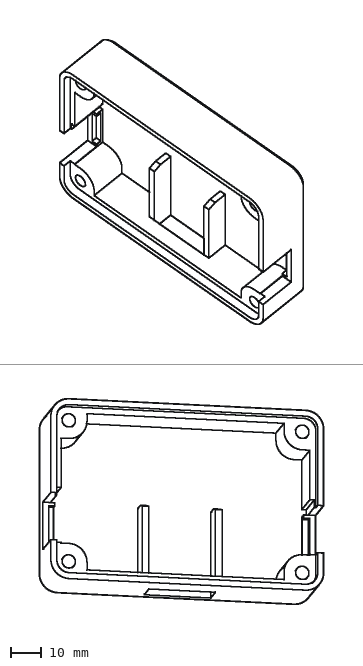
import cadquery as cq

length = 90.0
depth = 20.2
height = 60.0
corner_radius = 6.0
back_chamfer = 1.0
front_y = -depth / 2
back_y = depth / 2

wall = 4.0
floor_thickness = wall
rim_wall = 2.0
rim_depth = 3.0
ledge_y = front_y + rim_depth
floor_y = back_y - floor_thickness
inner_x = length / 2 - wall
inner_bottom = wall - height / 2

hole_diameter = 4.4
boss_radius = 6.0
hole_inset = 6.5
hole_x = length / 2 - hole_inset
hole_z = height / 2 - hole_inset

window_top = -1.5
window_height = 15.75
window_bottom = window_top - window_height
window_depth = 13.3
window_back_y = front_y + window_depth
pocket_margin = 1.1
pocket_depth = 2.0
pocket_width = 2.0
notch_height = 2.5
notch_width = 1.4

rib_gap = 22.0
rib_thickness = 2.2
rib_setback = 8.5
rib_front_y = front_y + rib_setback
rib_top = -1.4
rib_chamfer_drop = 1.0
rib_chamfer_run = 3.0


def block(x_range, y_range, z_range):
    """Box spanning the given coordinate ranges."""
    (x0, x1), (y0, y1), (z0, z1) = x_range, y_range, z_range
    return cq.Workplane("XY").box(x1 - x0, y1 - y0, z1 - z0, centered=False).translate((x0, y0, z0))


def centered_block(width, y_range, tall):
    """Box centred on X and Z."""
    return block((-width / 2, width / 2), y_range, (-tall / 2, tall / 2))


def make_shell():
    body = centered_block(length, (front_y, back_y), height)
    body = body.edges("|Y").fillet(corner_radius).faces(">Y").edges().chamfer(back_chamfer)
    cavity = centered_block(length - 2 * wall, (front_y, floor_y), height - 2 * wall)
    rim = centered_block(length - 2 * rim_wall, (front_y, ledge_y), height - 2 * rim_wall)
    rim = rim.edges("|Y").fillet(corner_radius - rim_wall)
    return body.cut(cavity).cut(rim)


def make_boss(side_x, side_z):
    """Corner boss merged into the walls, with its inward edge rounded."""
    boss_x = hole_x - boss_radius
    boss_z = hole_z - boss_radius
    boss = block(
        (boss_x, length / 2 - wall / 2),
        (ledge_y, floor_y + floor_thickness / 2),
        (boss_z, height / 2 - wall / 2),
    )
    boss = boss.edges("|Y and <X and <Z").fillet(boss_radius)
    boss = boss.edges("|Y and >X and >Z").fillet(corner_radius - rim_wall)
    if side_x < 0:
        boss = boss.mirror("YZ")
    if side_z < 0:
        boss = boss.mirror("XY")
    return boss


def make_side_cut():
    """Window, pocket and notch in the +X wall."""
    window = block((inner_x, length / 2), (front_y, window_back_y), (window_bottom, window_top))
    pocket = block(
        (inner_x, inner_x + pocket_width),
        (window_back_y, window_back_y + pocket_depth),
        (window_bottom + pocket_margin, window_top - pocket_margin),
    )
    notch = block(
        (inner_x, inner_x + notch_width),
        (ledge_y, floor_y),
        (window_top, window_top + notch_height),
    )
    return window.union(pocket).union(notch)


def make_rib():
    """Rib on the +X side, with the front of its top edge sloping down."""
    profile = [
        (floor_y, inner_bottom),
        (rib_front_y, inner_bottom),
        (rib_front_y, rib_top - rib_chamfer_drop),
        (rib_front_y + rib_chamfer_run, rib_top),
        (floor_y, rib_top),
    ]
    rib = cq.Workplane("YZ").workplane(offset=rib_gap / 2)
    return rib.polyline(profile).close().extrude(rib_thickness)


result = make_shell()
for side_x in (-1, 1):
    for side_z in (-1, 1):
        result = result.union(make_boss(side_x, side_z))

holes = (
    cq.Workplane("XZ", origin=(0, back_y, 0))
    .rect(2 * hole_x, 2 * hole_z, forConstruction=True)
    .vertices()
    .circle(hole_diameter / 2)
    .extrude(depth)
)
result = result.cut(holes)

side_cut = make_side_cut()
result = result.cut(side_cut).cut(side_cut.mirror("YZ"))

rib = make_rib()
result = result.union(rib).union(rib.mirror("YZ"))

bottom_opening = block(
    (-rib_gap / 2, rib_gap / 2),
    (rib_front_y, floor_y),
    (-height / 2, inner_bottom),
)
result = result.cut(bottom_opening)